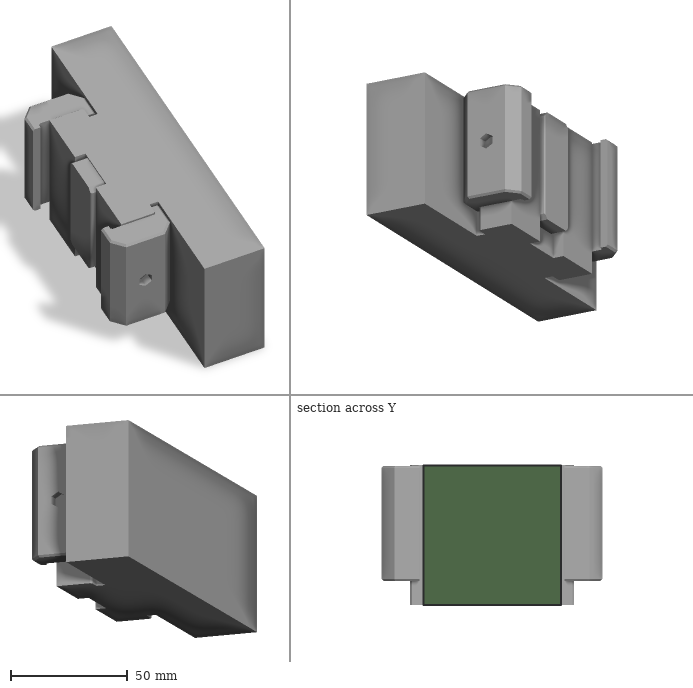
import cadquery as cq
import math

BODY_LENGTH = 150.0
BODY_HEIGHT = 60.0
TOTAL_DEPTH = 57.6
BLOCK_DEPTH = 28.6
RAIL_DEPTH = 48.9
RAIL_WIDTH = 70.2
RAIL_CHAMFER = 0.8
UNDERCUT_WIDTH = 59.1
UNDERCUT_DEPTH = 4.0
RAIL_BACK = BLOCK_DEPTH + UNDERCUT_DEPTH

GROOVE_WIDTH = 20.4
GROOVE_FLOOR = 44.0
KEY_FRONT = 51.3
KEY_BOTTOM = 10.4
KEY_TOP = 59.2
KEY_CORNER = 2.1
KEY_EDGE = 0.5

CLAMP_BOTTOM = 10.4
CLAMP_TOP = 59.5
CLAMP_GAP = 0.3
CLAMP_OUTER = 47.4
CLAMP_INNER = 35.5
HOOK_TIP = 31.0
FOOT_TIP = 33.3
FOOT_THICKNESS = 3.6
INNER_CORNER = RAIL_CHAMFER
BEVEL_X = 5.5
BEVEL_Y = 5.1
CLAMP_EDGE = 0.9
CLAMP_BACK = BLOCK_DEPTH + CLAMP_GAP

SOCKET_FLATS = 6.0
SOCKET_DEPTH = 4.5


def depth_box(width, back, front, bottom, top):
    """Box centred on X; back and front are depths from the back of the block."""
    return (
        cq.Workplane("XY")
        .box(width, front - back, top - bottom, centered=(True, False, False))
        .translate((0, -front, bottom))
    )


def make_body():
    block = depth_box(BODY_LENGTH, 0, BLOCK_DEPTH, 0, BODY_HEIGHT)
    neck = depth_box(UNDERCUT_WIDTH, 0, RAIL_BACK, 0, BODY_HEIGHT)
    rail = depth_box(RAIL_WIDTH, RAIL_BACK, RAIL_DEPTH, 0, BODY_HEIGHT)
    rail = rail.edges("|Z and >Y").chamfer(RAIL_CHAMFER)
    groove = depth_box(GROOVE_WIDTH, GROOVE_FLOOR, RAIL_DEPTH, 0, BODY_HEIGHT)
    return block.union(neck).union(rail).cut(groove)


def make_key():
    key = depth_box(GROOVE_WIDTH, GROOVE_FLOOR, KEY_FRONT, KEY_BOTTOM, KEY_TOP)
    key = key.edges("|Y").chamfer(KEY_CORNER)
    return key.faces("<Y").edges("|Z").chamfer(KEY_EDGE)


def make_socket():
    """Hexagonal prism, two flats upright, sunk into the left clamp's outer face."""
    middle_depth = (CLAMP_BACK + TOTAL_DEPTH) / 2
    middle_height = (CLAMP_BOTTOM + CLAMP_TOP) / 2
    across_corners = SOCKET_FLATS / math.cos(math.pi / 6)
    return (
        cq.Workplane("YZ", origin=(-CLAMP_OUTER, -middle_depth, middle_height))
        .transformed(rotate=(0, 0, 90))
        .polygon(6, across_corners)
        .extrude(SOCKET_DEPTH)
    )


def make_left_clamp():
    bevel_start = CLAMP_OUTER - BEVEL_X
    foot_back = TOTAL_DEPTH - FOOT_THICKNESS
    profile = [
        (-HOOK_TIP, -CLAMP_BACK),
        (-bevel_start, -CLAMP_BACK),
        (-CLAMP_OUTER, -CLAMP_BACK - BEVEL_Y),
        (-CLAMP_OUTER, -TOTAL_DEPTH + BEVEL_Y),
        (-bevel_start, -TOTAL_DEPTH),
        (-FOOT_TIP, -TOTAL_DEPTH),
        (-FOOT_TIP, -foot_back),
        (-CLAMP_INNER + INNER_CORNER, -foot_back),
        (-CLAMP_INNER, -foot_back + INNER_CORNER),
        (-CLAMP_INNER, -RAIL_BACK - INNER_CORNER),
        (-CLAMP_INNER + INNER_CORNER, -RAIL_BACK),
        (-HOOK_TIP, -RAIL_BACK),
    ]
    clamp = (
        cq.Workplane("XY", origin=(0, 0, CLAMP_BOTTOM))
        .polyline(profile)
        .close()
        .extrude(CLAMP_TOP - CLAMP_BOTTOM)
    )
    bevel_zone = cq.selectors.BoxSelector(
        (-BODY_LENGTH / 2, -TOTAL_DEPTH, 0), (-bevel_start, 0, BODY_HEIGHT)
    )
    ends = clamp.faces("<Z or >Z")
    outer_edges = ends.edges(bevel_zone).add(ends.edges("<Y or >Y"))
    clamp = outer_edges.chamfer(CLAMP_EDGE)
    return clamp.cut(make_socket())


left_clamp = make_left_clamp()
right_clamp = left_clamp.mirror("YZ")
result = make_body().union(make_key()).union(left_clamp).union(right_clamp)